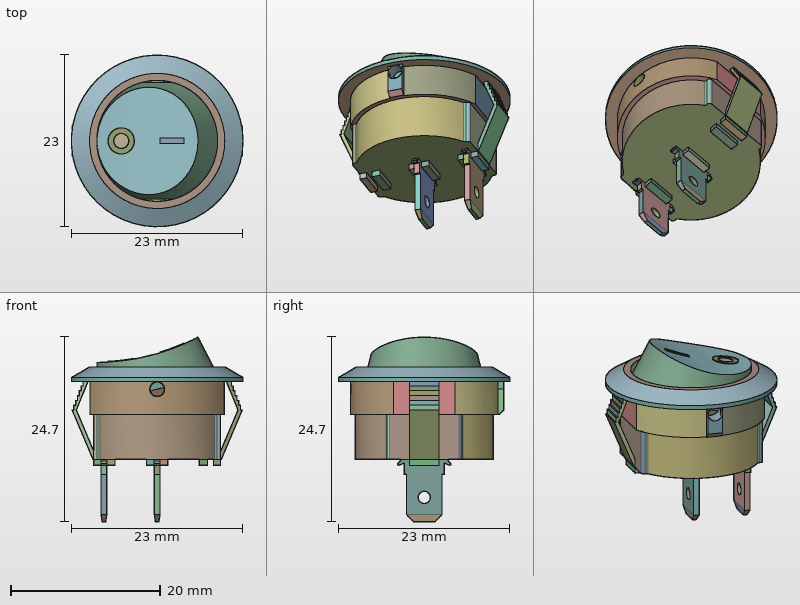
import cadquery as cq
import math

flange_rim_height = 0.57
flange_height = 2.0
upper_body_bottom = -4.42
body_bottom = -10.4
foot_bottom = -11.2

flange_radius = 11.5
flange_top_radius = 9.05
opening_radius = 8.1
opening_floor = -2.6

upper_radius = 9.9
upper_half_x = 9.0

lower_radius = 9.25
block_half_x = 8.5
block_half_y = 5.02
block_fillet = 0.4
groove_fillet = 0.3

key_reach = 10.67
key_chamfer = 0.65

pivot_height = -1.0
tilt = 14.0
rim_radius = 6.98
rim_rise = 5.45
rocker_draft = 13.4
dish_radius = 28.6
rocker_root_depth = 3.0
rocker_half_y = 7.8

pin_diameter = 1.9
pivot_hole_diameter = 2.0
key_width = pivot_hole_diameter
pin_reach = 8.9
pin_bevel_reach = 0.6

mark_height = 0.1
ring_offset = -3.73
ring_outer_diameter = 3.5
ring_inner_diameter = 2.0
bar_offset = 1.55
bar_length = 3.42
bar_width = 0.75

clip_half_width = 2.0
clip_top_inner_x = 9.26
clip_elbow_inner_x = 10.8
clip_elbow_z = -3.79
clip_elbow_outer_x = 11.4
clip_foot_inner_z = -9.25
clip_foot_outer_x = 8.6
tooth_count = 6
tooth_pitch = 0.645
tooth_depth = 0.245
tooth_top_x = 9.95

foot_half_y = 2.0
foot_length = 2.88
slot_width = 0.78
slot_center_x = 7.13

blade_thickness = 0.8
blade_shoulder_half = 2.7
blade_shoulder_z = -12.4
blade_half = 2.38
blade_taper_z = -17.8
blade_tip_z = -18.75
blade_tip_half = 1.43
blade_tip_thickness = 0.5
blade_hole_diameter = 1.6
blade_hole_z = -15.48
barb_neck_half = 3.22
barb_tip_half = 3.56
barb_neck_z = -10.62
barb_tip_top_z = -10.93
barb_tip_bottom_z = -11.15
barb_heel_half = 3.36
barb_root_z = -10.9

overlap = 0.3


def cylinder(radius, bottom, top):
    return cq.Workplane("XY").workplane(offset=bottom).circle(radius).extrude(top - bottom)


def box(x_range, y_range, z_range):
    size = [high - low for low, high in (x_range, y_range, z_range)]
    low_corner = (x_range[0], y_range[0], z_range[0])
    return cq.Workplane("XY").box(*size, centered=False).translate(low_corner)


def make_flange():
    profile = [
        (0, 0),
        (flange_radius, 0),
        (flange_radius, flange_rim_height),
        (flange_top_radius, flange_height),
        (0, flange_height),
    ]
    return cq.Workplane("XZ").polyline(profile).close().revolve(360, (0, 0), (0, 1))


def make_upper_body():
    flats = box(
        (-upper_half_x, upper_half_x), (-upper_radius, upper_radius), (upper_body_bottom, 0)
    )
    return cylinder(upper_radius, upper_body_bottom, 0).intersect(flats)


def make_lower_body():
    block = box(
        (-block_half_x, block_half_x),
        (-block_half_y, block_half_y),
        (body_bottom, upper_body_bottom),
    )
    block = block.edges("|Z").fillet(block_fillet)
    flats = box(
        (-block_half_x, block_half_x),
        (-lower_radius, lower_radius),
        (body_bottom, upper_body_bottom),
    )
    drum = cylinder(lower_radius, body_bottom, upper_body_bottom).intersect(flats)
    body = drum.union(block).clean()
    corner_x = math.sqrt(lower_radius**2 - block_half_y**2)
    mid_z = (body_bottom + upper_body_bottom) / 2
    for x in (-corner_x, corner_x):
        for y in (-block_half_y, block_half_y):
            corner = cq.selectors.NearestToPointSelector((x, y, mid_z))
            body = body.edges(corner).fillet(groove_fillet)
    return body


def make_key():
    key = box(
        (-key_width / 2, key_width / 2),
        (upper_radius - overlap, key_reach),
        (upper_body_bottom, 0),
    )
    return key.faces(">Y").edges("<Z").chamfer(key_chamfer)


def tilt_rocker(shape):
    return shape.rotate((0, 0, 0), (0, 1, 0), -tilt).translate((0, 0, pivot_height))


def dish_tool(lift):
    """Cylinder that hollows the top of the rocker, raised by lift."""
    rim_to_axis = math.sqrt(dish_radius**2 - rim_radius**2)
    axis_height = rim_rise + rim_to_axis
    return (
        cq.Workplane("XZ")
        .center(0, axis_height)
        .circle(dish_radius - lift)
        .extrude(opening_radius, both=True)
    )


def make_marks():
    ring = cq.Workplane("XY").center(ring_offset, 0)
    ring = ring.circle(ring_outer_diameter / 2).circle(ring_inner_diameter / 2).extrude(rim_rise)
    bar = cq.Workplane("XY").center(bar_offset + bar_length / 2, 0)
    bar = bar.rect(bar_length, bar_width).extrude(rim_rise)
    marks = ring.union(bar).cut(dish_tool(mark_height))
    return marks.intersect(dish_tool(-overlap))


def make_rocker():
    root_radius = rim_radius + (rim_rise + rocker_root_depth) * math.tan(math.radians(rocker_draft))
    profile = [
        (0, -rocker_root_depth),
        (root_radius, -rocker_root_depth),
        (rim_radius, rim_rise),
        (0, rim_rise),
    ]
    rocker = cq.Workplane("XZ").polyline(profile).close().revolve(360, (0, 0), (0, 1))
    rocker = rocker.cut(dish_tool(0)).union(make_marks())
    sides = box(
        (-flange_radius, flange_radius), (-rocker_half_y, rocker_half_y), (-flange_radius, flange_radius)
    )
    rocker = tilt_rocker(rocker.intersect(sides))
    return rocker.intersect(cylinder(opening_radius, opening_floor - overlap, flange_radius))


def make_pins():
    """Pivot pin with the lower half of each end bevelled."""
    pin = cq.Workplane("XZ").circle(pin_diameter / 2).extrude(pin_reach, both=True)
    bevel_inner = pin_reach - pin_bevel_reach
    for side in (-1, 1):
        bevel = [
            (side * pin_reach, 0),
            (side * pin_reach, -pin_diameter / 2),
            (side * bevel_inner, -pin_diameter / 2),
        ]
        pin = pin.cut(cq.Workplane("YZ").polyline(bevel).close().extrude(pin_diameter, both=True))
    return tilt_rocker(pin)


def make_pivot_hole():
    """Hole through both walls and the key, as wide as the key."""
    hole = cq.Workplane("XZ").circle(pivot_hole_diameter / 2).extrude(key_reach, both=True)
    return hole.translate((0, 0, pivot_height))


def make_clip():
    """Sprung clip on the +X side: an outer elbow with a stair of teeth above it."""
    outline = [
        (clip_top_inner_x, overlap),
        (clip_top_inner_x, 0),
        (clip_elbow_inner_x, clip_elbow_z),
        (block_half_x, clip_foot_inner_z),
        (block_half_x - overlap, clip_foot_inner_z),
        (block_half_x - overlap, body_bottom),
        (clip_foot_outer_x, body_bottom),
        (clip_elbow_outer_x, clip_elbow_z),
    ]
    for tooth in reversed(range(tooth_count)):
        x = tooth_top_x + tooth * tooth_depth
        bottom = clip_elbow_z + (tooth_count - 1 - tooth) * tooth_pitch
        top = overlap if tooth == 0 else bottom + tooth_pitch
        outline += [(x, bottom), (x, top)]
    return cq.Workplane("XZ").polyline(outline).close().extrude(clip_half_width, both=True)


def make_feet():
    z_range = (foot_bottom, body_bottom + overlap)
    y_range = (-foot_half_y, foot_half_y)
    left = box((-block_half_x, -block_half_x + foot_length), y_range, z_range)
    center = box((-foot_length / 2, foot_length / 2), y_range, z_range)
    slot = box(
        (slot_center_x - slot_width / 2, slot_center_x + slot_width / 2),
        y_range,
        (foot_bottom, body_bottom),
    )
    right = left.mirror("YZ").cut(slot)
    return [left, center, right]


def make_blade(x):
    """Flat terminal with a barb at each shoulder, a hole and a tapered tip."""
    half_outline = [
        (barb_neck_half, body_bottom + overlap),
        (barb_neck_half, barb_neck_z),
        (barb_tip_half, barb_tip_top_z),
        (barb_tip_half, barb_tip_bottom_z),
        (barb_heel_half, foot_bottom),
        (blade_shoulder_half, barb_root_z),
        (blade_shoulder_half, blade_shoulder_z),
        (blade_half, blade_shoulder_z),
        (blade_half, blade_taper_z),
        (blade_tip_half, blade_tip_z),
    ]
    outline = half_outline + [(-y, z) for y, z in reversed(half_outline)]
    blade = cq.Workplane("YZ").polyline(outline).close().extrude(blade_thickness / 2, both=True)
    hole = cq.Workplane("YZ").center(0, blade_hole_z).circle(blade_hole_diameter / 2)
    blade = blade.cut(hole.extrude(blade_thickness, both=True))
    half = blade_thickness / 2
    tip_half = blade_tip_thickness / 2
    for side in (-1, 1):
        bevel = [
            (side * half, blade_taper_z),
            (side * half, blade_tip_z),
            (side * tip_half, blade_tip_z),
        ]
        blade = blade.cut(cq.Workplane("XZ").polyline(bevel).close().extrude(blade_half, both=True))
    return blade.translate((x, 0, 0))


housing = make_flange().union(make_upper_body()).union(make_lower_body()).union(make_key())
housing = housing.cut(cylinder(opening_radius, opening_floor, flange_height))
housing = housing.cut(make_pivot_hole())

clip = make_clip()
pieces = [make_rocker(), make_pins(), clip, clip.mirror("YZ")]
pieces += make_feet()
pieces += [make_blade(-slot_center_x), make_blade(0)]

result = housing
for piece in pieces:
    result = result.union(piece)